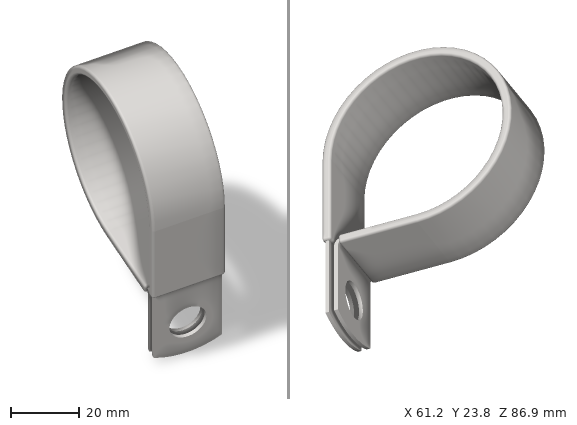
import cadquery as cq
import math


diagonal = math.sqrt(0.5)

loop_radius = 30.6
cushion_thickness = 2.9
cushion_width = 23.8
edge_radius = 0.83
upright_end_z = -28.3
floor_end_x = 25.3

strap_thickness = cushion_thickness - 2 * edge_radius
strap_width = cushion_width - 2 * edge_radius
strap_outer = loop_radius - edge_radius
strap_inner = strap_outer - strap_thickness

tab_bottom_z = -56.3
tab_corner_z = -53.9
inner_tab_x = 25.7
bend_inside_radius = 1.0
bend_outside_radius = bend_inside_radius + strap_thickness
bend_x = inner_tab_x - bend_inside_radius
bend_z = -strap_outer - bend_inside_radius

hole_diameter = 12.0
hole_z = -43.7


def loop_band(outer, inner, width, upright_z, floor_x):
    """Three-quarter ring with a straight upright and a straight floor."""
    return (
        cq.Workplane("XZ")
        .moveTo(outer, upright_z)
        .lineTo(outer, 0)
        .threePointArc((-outer * diagonal, outer * diagonal), (0, -outer))
        .lineTo(floor_x, -outer)
        .lineTo(floor_x, -inner)
        .lineTo(0, -inner)
        .threePointArc((-inner * diagonal, inner * diagonal), (inner, 0))
        .lineTo(inner, upright_z)
        .close()
        .extrude(width / 2, both=True)
    )


def bent_tab():
    """Quarter bend from the floor strap down into the inner tab."""
    inside_step = bend_inside_radius * diagonal
    outside_step = bend_outside_radius * diagonal
    outer_face_x = inner_tab_x + strap_thickness
    return (
        cq.Workplane("XZ")
        .moveTo(bend_x, -strap_inner)
        .threePointArc((bend_x + outside_step, bend_z + outside_step), (outer_face_x, bend_z))
        .lineTo(outer_face_x, tab_bottom_z)
        .lineTo(inner_tab_x, tab_bottom_z)
        .lineTo(inner_tab_x, bend_z)
        .threePointArc((bend_x + inside_step, bend_z + inside_step), (bend_x, -strap_outer))
        .close()
        .extrude(strap_width / 2, both=True)
    )


def tab_envelope():
    """Strap outline seen along X, with the curved lower end."""
    half_width = strap_width / 2
    return (
        cq.Workplane("YZ")
        .moveTo(-half_width, loop_radius)
        .lineTo(-half_width, tab_corner_z)
        .threePointArc((0, tab_bottom_z), (half_width, tab_corner_z))
        .lineTo(half_width, loop_radius)
        .close()
        .extrude(loop_radius, both=True)
    )


def bolt_hole():
    return (
        cq.Workplane("YZ")
        .center(0, hole_z)
        .circle(hole_diameter / 2)
        .extrude(loop_radius)
    )


cushion = loop_band(
    loop_radius, loop_radius - cushion_thickness, cushion_width, upright_end_z, floor_end_x
)
outside_edges = cushion.faces("<Y or >Y").edges()
end_edges = cushion.edges("|Y").edges(
    cq.selectors.BoxSelector(
        (floor_end_x - edge_radius, -cushion_width, -loop_radius - edge_radius),
        (loop_radius + edge_radius, cushion_width, upright_end_z + edge_radius),
    )
)
cushion = outside_edges.add(end_edges).fillet(edge_radius)

strap = loop_band(strap_outer, strap_inner, strap_width, tab_bottom_z, bend_x)
strap = strap.union(bent_tab()).intersect(tab_envelope()).cut(bolt_hole())

result = cushion.union(strap)